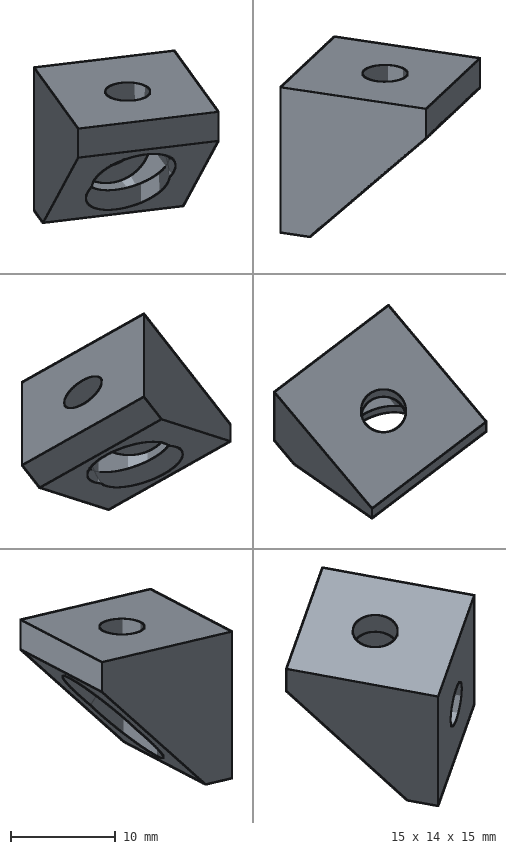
import cadquery as cq

leg = 15.0
width = 14.0
blunt_end = 3.05
hole_diameter = 4.3
hole_offset = 8.0
head_diameter = 8.0
seat_thickness = 2.3


def make_block():
    """Square block with its inner corner cut off by a slope."""
    return (
        cq.Workplane("XZ")
        .moveTo(0, 0)
        .lineTo(leg, 0)
        .lineTo(leg, -blunt_end)
        .lineTo(blunt_end, -leg)
        .lineTo(0, -leg)
        .close()
        .extrude(width / 2, both=True)
    )


def make_screw_cutter(plane, center, direction):
    """Through hole with a head clearance that runs out through the slope."""
    hole = cq.Workplane(plane).center(*center).circle(hole_diameter / 2).extrude(direction * leg)
    clearance = (
        cq.Workplane(plane)
        .workplane(offset=direction * seat_thickness)
        .center(*center)
        .circle(head_diameter / 2)
        .extrude(direction * leg)
    )
    return hole.union(clearance)


top_screw = make_screw_cutter("XY", (hole_offset, 0), -1)
side_screw = make_screw_cutter("YZ", (0, -hole_offset), 1)

result = make_block().cut(top_screw).cut(side_screw)